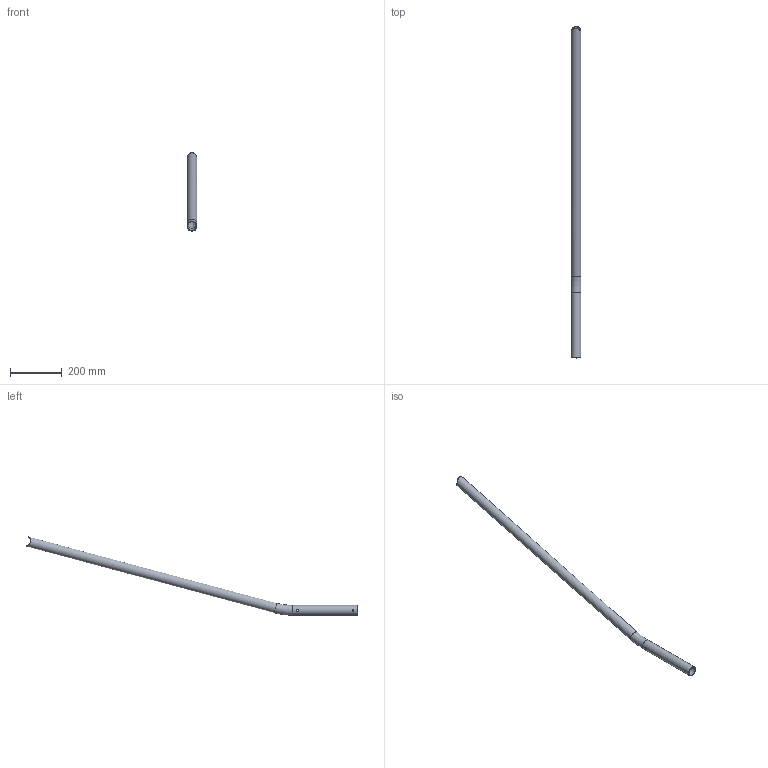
import cadquery as cq
import math

OUTER_DIAMETER = 38.1
INNER_DIAMETER = 33.88

LEVEL_LENGTH = 254.0
BEND_RADIUS = 254.0
BEND_ANGLE = 15.0
SLOPE_LENGTH = 996.9

COPE_DIAMETER = OUTER_DIAMETER
COPE_CENTER_BEYOND_END = 6.6

BOLT_HOLE_DIAMETER = 9.53
BOLT_HOLE_FROM_END = 234.95
PIN_HOLE_DIAMETER = 6.73
PIN_HOLE_FROM_END = 19.05

CUT_WIDTH = 2 * OUTER_DIAMETER

bend = math.radians(BEND_ANGLE)


def arc_point(angle):
    """(Y, Z) on the bend centreline after turning through angle, in radians."""
    y = LEVEL_LENGTH + BEND_RADIUS * math.sin(angle)
    z = BEND_RADIUS * (1 - math.cos(angle))
    return y, z


bend_end = arc_point(bend)


def slope_point(distance):
    """(Y, Z) on the sloping straight's axis at a distance past the bend."""
    y = bend_end[0] + distance * math.cos(bend)
    z = bend_end[1] + distance * math.sin(bend)
    return y, z


cope_center = slope_point(SLOPE_LENGTH + COPE_CENTER_BEYOND_END)


def make_tube():
    """Sweep the tube ring along the bent centreline in the YZ plane."""
    centreline = (
        cq.Workplane("YZ")
        .moveTo(0, 0)
        .lineTo(LEVEL_LENGTH, 0)
        .threePointArc(arc_point(bend / 2), bend_end)
        .lineTo(*slope_point(SLOPE_LENGTH))
    )
    ring = cq.Workplane("XZ").circle(OUTER_DIAMETER / 2).circle(INNER_DIAMETER / 2)
    return ring.sweep(centreline)


def cross_cylinder(y, z, diameter):
    """Cylinder along X, centred on the tube's mid-plane at (y, z)."""
    return cq.Workplane("YZ").center(y, z).circle(diameter / 2).extrude(CUT_WIDTH / 2, both=True)


result = make_tube()
result = result.cut(cross_cylinder(*cope_center, COPE_DIAMETER))
result = result.cut(cross_cylinder(BOLT_HOLE_FROM_END, 0, BOLT_HOLE_DIAMETER))
result = result.cut(cross_cylinder(PIN_HOLE_FROM_END, 0, PIN_HOLE_DIAMETER))